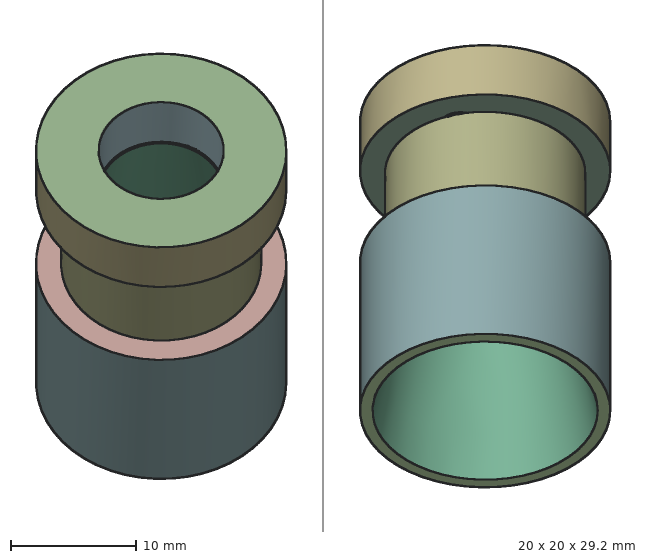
import cadquery as cq
import math

total_height = 29.2
outer_diameter = 20.0
neck_diameter = 16.0
bore_diameter = 10.0
bore_mouth_diameter = 18.0
base_height = 15.0
cap_height = 5.0
gap_height = 0.2
pin_diameter = 3.0
pin_count = 3
first_pin_angle = 90.0

cap_bottom = total_height - cap_height
neck_top = cap_bottom - gap_height
pin_circle_radius = (neck_diameter + bore_diameter) / 4


def make_body():
    """Base and neck with a bore that widens evenly towards the bottom."""
    base = cq.Workplane("XY").circle(outer_diameter / 2).extrude(base_height)
    neck = cq.Workplane("XY").circle(neck_diameter / 2).extrude(neck_top)
    tapered_bore = (
        cq.Workplane("XY")
        .circle(bore_mouth_diameter / 2)
        .workplane(offset=neck_top)
        .circle(bore_diameter / 2)
        .loft()
    )
    return base.union(neck).cut(tapered_bore)


def make_cap():
    """Flat ring with a straight bore."""
    return (
        cq.Workplane("XY")
        .workplane(offset=cap_bottom)
        .circle(outer_diameter / 2)
        .circle(bore_diameter / 2)
        .extrude(cap_height)
    )


def make_pin(angle):
    """Short pin bridging the narrow gap between the neck and the cap."""
    x = pin_circle_radius * math.cos(math.radians(angle))
    y = pin_circle_radius * math.sin(math.radians(angle))
    return (
        cq.Workplane("XY")
        .workplane(offset=neck_top)
        .center(x, y)
        .circle(pin_diameter / 2)
        .extrude(gap_height)
    )


result = make_body().union(make_cap())
for index in range(pin_count):
    result = result.union(make_pin(first_pin_angle + index * 360 / pin_count))